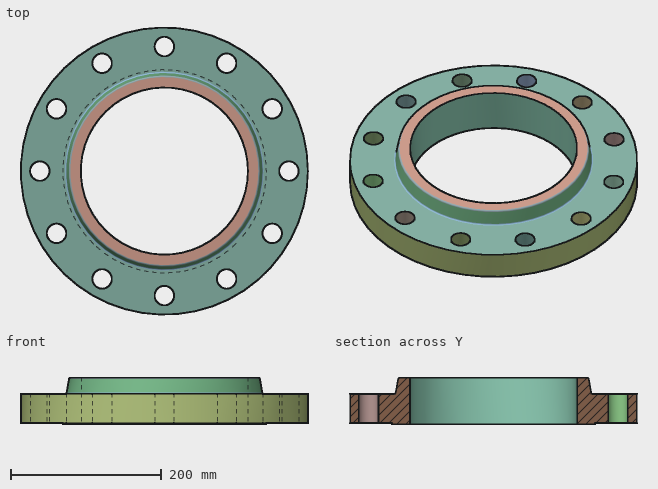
import cadquery as cq

flange_diameter = 381.0
total_height = 62.0

face_diameter = 269.5
face_height = 2.0

flange_top = 40.8

hub_base_diameter = 260.5
hub_taper = 10.0
hub_root_fillet = 2.0
hub_edge_round = 2.3

bore_diameter = 221.3
bolt_circle_diameter = 330.2
bolt_hole_diameter = 25.5
bolt_count = 12


def disc(diameter, bottom, top):
    """Upright cylinder on the Z axis between two heights."""
    return cq.Workplane("XY").workplane(offset=bottom).circle(diameter / 2).extrude(top - bottom)


def tapered_hub():
    """Cone that narrows upward from the flange, with a rounded top edge."""
    hub_height = total_height - flange_top
    hub = (
        cq.Workplane("XY")
        .workplane(offset=flange_top)
        .circle(hub_base_diameter / 2)
        .extrude(hub_height, taper=hub_taper)
    )
    return hub.faces(">Z").edges().fillet(hub_edge_round)


def round_hub_root(flange):
    """Blend the foot of the hub into the top of the flange plate."""
    reach = hub_base_diameter / 2 + hub_root_fillet
    around_foot = cq.selectors.BoxSelector(
        (-reach, -reach, flange_top - hub_root_fillet),
        (reach, reach, flange_top + hub_root_fillet),
        boundingbox=True,
    )
    return flange.edges(around_foot).fillet(hub_root_fillet)


def bolt_holes():
    """Through holes evenly spaced on the bolt circle, the first one on +X."""
    return (
        cq.Workplane("XY")
        .polarArray(bolt_circle_diameter / 2, 0, 360, bolt_count)
        .circle(bolt_hole_diameter / 2)
        .extrude(total_height)
    )


body = disc(face_diameter, 0, face_height)
body = body.union(disc(flange_diameter, face_height, flange_top))
body = round_hub_root(body.union(tapered_hub()))
result = body.cut(disc(bore_diameter, 0, total_height)).cut(bolt_holes())